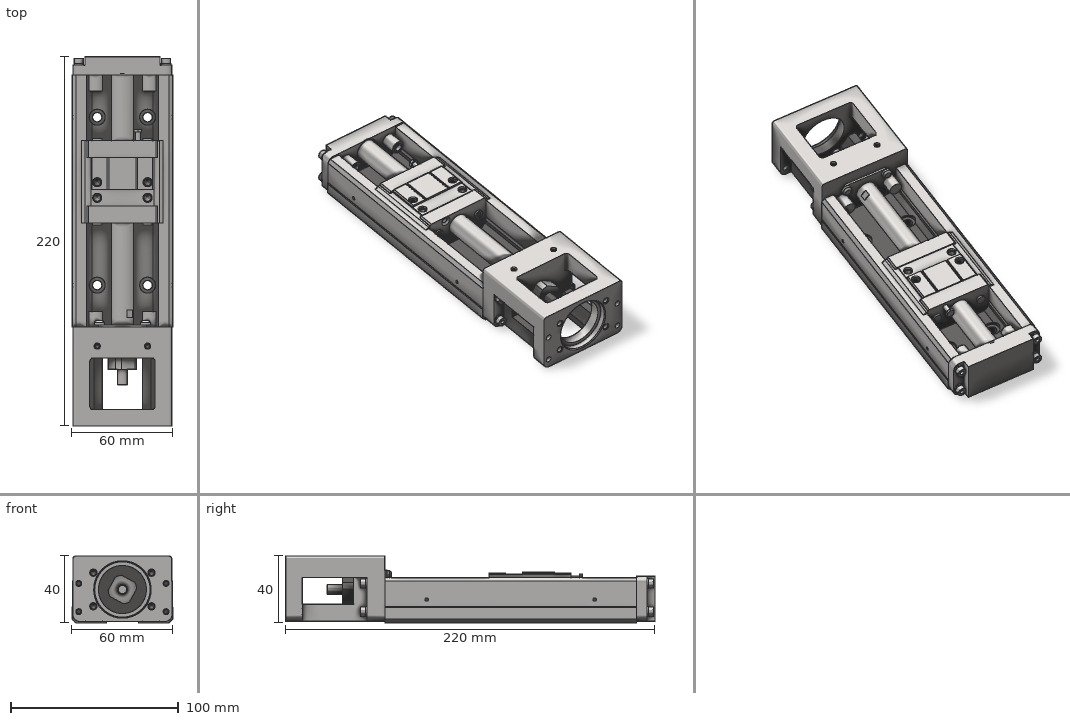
import cadquery as cq
import math


rail_length = 150.0
rail_width = 60.0
rail_upper_width = 59.4
rail_height = 27.0
step_top_z = 10.0
step_bottom_z = 9.3
rail_top_chamfer = 2.0
rail_bottom_chamfer = 2.4
channel_half = 21.5
floor_half = 18.1
floor_z = 7.0
floor_slope_top_z = 9.0
ball_groove_radius = 1.5
ball_groove_x = 21.8
ball_groove_z = 12.8
relief_half = 9.5
relief_depth = 0.8
mount_x = 15.0
mount_end_distance = 25.0
mount_hole_diameter = 5.5
mount_counterbore_diameter = 9.5
mount_counterbore_z = 5.5
side_hole_diameter = 2.0
side_hole_z = 14.0
side_hole_depth = 4.0

drill_point_angle = 118.0

axis_z = 20.0
shaft_diameter = 13.0
flat_span = 12.2
flat_start_y = 5.8
flat_length = 4.3
flat_angle = 45.0
journal_diameter = 6.0
journal_end_y = -34.5
journal_chamfer = 0.5
nut_diameter = 17.0
nut_square = 14.5
nut_end_y = -25.2
nut_angle = -28.5

housing_width = 59.0
housing_bottom_z = 1.0
housing_round = 4.0
corner_screw_x = 26.0
corner_screw_zs = (6.8, 23.6)
corner_screw_head = 5.5
corner_screw_head_length = 4.0
corner_washer_diameter = 5.9
corner_washer_thickness = 1.0
corner_socket_diameter = 2.5
corner_socket_depth = 2.0

end_plate_top_z = 28.0
end_plate_wide_length = 6.0
end_plate_length = 11.0
end_plate_narrow_width = 44.8
shaft_clearance_diameter = 15.0
shaft_clearance_depth = 1.0

bracket_length = 59.0
bracket_top_z = 40.0
bracket_top_round = 2.0
recess_top_z = 27.0
recess_back_y = -10.5
recess_half = 22.0
front_plate_back_y = -49.0
cavity_back_y = -18.5
cavity_half = 19.5
cavity_corner = 2.0
window_bottom_z = 11.3
trough_radius = 19.0
bottom_opening_half = 11.9
pilot_diameter = 33.0
pilot_chamfer = 0.6
pilot_depth = 4.0
bore_diameter = 28.6
motor_pitch_radius = 20.0
motor_pitch_angle = 30.0
motor_hole_diameter = 3.3
motor_hole_chamfer = 0.5
motor_hole_depth = 8.0
access_hole_diameter = 3.5
top_hole_x = 15.0
top_hole_y = -11.3
top_hole_diameter = 2.5
top_hole_chamfer = 0.6
top_hole_depth = 6.0

cover_half = 14.2
cover_thickness = 1.3
cover_top_z = 31.6
cover_screw_x = 13.7
cover_screw_z = 28.3
cover_screw_diameter = 6.0
cover_screw_rim = 1.4
cover_screw_top_diameter = 4.0
cover_screw_height = 2.7

stop_x = 16.0
stop_diameter = 8.0
stop_length = 9.3
stop_tip_diameter = 6.0
stop_tip_length = 0.6
stop_socket_diameter = 4.0
stop_socket_depth = 3.0

carriage_y = 62.0
carriage_length = 49.0
carriage_half = 21.0
carriage_bottom_z = 8.0
carriage_bottom_chamfer = 3.0
cap_length = 10.0
cap_top_z = 29.8
cap_chamfer = 0.9
wing_bottom_z = 27.3
wing_top_z = 28.6
wing_half = 24.3
wing_top_half = 22.2
deck_half = 18.8
deck_top_z = 29.2
pad_top_z = 30.4
pad_length = 19.0
pad_chamfer = 0.8
pad_groove_x = 8.6
pad_groove_width = 1.0
pad_groove_depth = 0.8
tap_x = 15.0
tap_ys = (77.0, 86.3)
tap_diameter = 4.2
tap_chamfer = 0.6
tap_depths = (2.0, 8.0)
cap_screw_x = 15.0
cap_screw_diameter = 5.5
cap_screw_height = 1.2
cap_socket_diameter = 3.0
cap_socket_depth = 0.8
nipple_x = 9.2
nipple_z = 26.6
nipple_hex = 4.6
nipple_length = 6.6
nipple_neck_diameter = 3.0
nipple_tip_length = 1.5
port_diameter = 3.5
port_depth = 4.0
port_chamfer = 1.3


def box(x0, x1, y0, y1, z0, z1):
    return cq.Workplane("XY").box(x1 - x0, y1 - y0, z1 - z0, centered=False).translate((x0, y0, z0))


def rod(x, z, diameter, y0, y1):
    """Round bar along Y from y0 to y1."""
    length = y1 - y0
    return cq.Workplane("XZ", origin=(x, y1, z)).circle(diameter / 2).extrude(length)


def cone_y(x, z, d0, d1, y0, y1):
    """Cone along Y, diameter d0 at y0 and d1 at y1."""
    direction = cq.Vector(0, math.copysign(1, y1 - y0), 0)
    solid = cq.Solid.makeCone(d0 / 2, d1 / 2, abs(y1 - y0), cq.Vector(x, y0, z), direction)
    return cq.Workplane(solid)


def drill_tip_length(diameter):
    """Length of the conical point left by a drill of the given diameter."""
    return diameter / 2 / math.tan(math.radians(drill_point_angle / 2))


def tapped_hole_down(x, y, z, diameter, chamfer, depth):
    """Blind hole going down from height z, with a chamfered mouth and a drill point."""
    hole = cq.Workplane("XY", origin=(x, y, z - depth)).circle(diameter / 2).extrude(depth)
    mouth_radius = diameter / 2 + chamfer
    mouth = cq.Solid.makeCone(mouth_radius, diameter / 2, chamfer, cq.Vector(x, y, z), cq.Vector(0, 0, -1))
    tip = cq.Solid.makeCone(diameter / 2, 0, drill_tip_length(diameter), cq.Vector(x, y, z - depth),
                            cq.Vector(0, 0, -1))
    return hole.union(cq.Workplane(mouth)).union(cq.Workplane(tip))


def build_rail():
    half = rail_width / 2
    upper = rail_upper_width / 2
    right = [
        (relief_half, relief_depth),
        (relief_half, 0),
        (half - rail_bottom_chamfer, 0),
        (half, rail_bottom_chamfer),
        (half, step_bottom_z),
        (upper, step_top_z),
        (upper, rail_height - rail_top_chamfer),
        (upper - rail_top_chamfer, rail_height),
        (channel_half, rail_height),
        (channel_half, floor_slope_top_z),
        (floor_half, floor_z),
    ]
    left = [(-x, z) for x, z in reversed(right)]
    rail = cq.Workplane("XZ").polyline(right + left).close().extrude(-rail_length)
    for side in (-1, 1):
        rail = rail.cut(rod(side * ball_groove_x, ball_groove_z, 2 * ball_groove_radius, 0, rail_length))
        for y in (mount_end_distance, rail_length - mount_end_distance):
            foot = cq.Workplane("XY", origin=(side * mount_x, y, 0))
            rail = rail.cut(foot.circle(mount_hole_diameter / 2).extrude(rail_height))
            seat = foot.workplane(offset=mount_counterbore_z)
            rail = rail.cut(seat.circle(mount_counterbore_diameter / 2).extrude(rail_height))
            side_hole = cq.Workplane("YZ", origin=(side * upper, y, side_hole_z))
            rail = rail.cut(side_hole.circle(side_hole_diameter / 2).extrude(-side * side_hole_depth))
    return rail


def build_shaft():
    shaft = rod(0, axis_z, shaft_diameter, 0, rail_length + shaft_clearance_depth)
    flats = box(-flat_span / 2, flat_span / 2, flat_start_y, flat_start_y + flat_length,
                -shaft_diameter, shaft_diameter)
    flats = flats.rotate((0, 0, 0), (0, 1, 0), -flat_angle).translate((0, 0, axis_z))
    waste = rod(0, axis_z, 2 * shaft_diameter, flat_start_y, flat_start_y + flat_length).cut(flats)
    journal = rod(0, axis_z, journal_diameter, journal_end_y, 0).faces("<Y").chamfer(journal_chamfer)
    nut = rod(0, 0, nut_diameter, nut_end_y, cavity_back_y)
    nut = nut.intersect(box(-nut_square / 2, nut_square / 2, nut_end_y, cavity_back_y,
                            -nut_square / 2, nut_square / 2))
    nut = nut.rotate((0, 0, 0), (0, 1, 0), -nut_angle).translate((0, 0, axis_z))
    return shaft.cut(waste).union(journal).union(nut)


def corner_screws(y_face, direction):
    """Four cap screws with washers, standing on the plane y = y_face."""
    screws = cq.Workplane("XY")
    tip = y_face + direction * corner_screw_head_length
    washer_y = y_face + direction * corner_washer_thickness
    socket_floor = tip - direction * corner_socket_depth
    for x in (-corner_screw_x, corner_screw_x):
        for z in corner_screw_zs:
            head = rod(x, z, corner_screw_head, min(y_face, tip), max(y_face, tip))
            socket = rod(x, z, corner_socket_diameter, min(socket_floor, tip), max(socket_floor, tip))
            washer = rod(x, z, corner_washer_diameter, min(y_face, washer_y), max(y_face, washer_y))
            screws = screws.union(head.cut(socket)).union(washer)
    return screws


def build_end_plate():
    half = housing_width / 2
    wide_y = rail_length + end_plate_wide_length
    plate = box(-half, half, rail_length, wide_y, housing_bottom_z, end_plate_top_z)
    plate = plate.edges("|Y").fillet(housing_round)
    narrow = box(-end_plate_narrow_width / 2, end_plate_narrow_width / 2, wide_y,
                 rail_length + end_plate_length, housing_bottom_z, end_plate_top_z)
    clearance = rod(0, axis_z, shaft_clearance_diameter, rail_length, rail_length + shaft_clearance_depth)
    return plate.union(narrow).cut(clearance).union(corner_screws(wide_y, 1))


def cut_bracket_cavity(bracket):
    """Cavity between bearing wall and motor plate, open above, slotted below, with side windows."""
    half = housing_width / 2
    cavity = box(-cavity_half, cavity_half, front_plate_back_y, cavity_back_y,
                 window_bottom_z, bracket_top_z)
    cavity = cavity.edges("|Z").fillet(cavity_corner)
    slot = box(-bottom_opening_half, bottom_opening_half, front_plate_back_y, cavity_back_y,
               housing_bottom_z, axis_z)
    trough = rod(0, axis_z, 2 * trough_radius, front_plate_back_y, cavity_back_y)
    trough = trough.intersect(box(-half, half, -bracket_length, 0, housing_bottom_z, axis_z))
    windows = box(-half, half, front_plate_back_y, cavity_back_y, window_bottom_z, recess_top_z)
    return bracket.cut(cavity).cut(slot).cut(trough).cut(windows)


def cut_side_recesses(bracket):
    """Recesses in both sides that clear the corner screws."""
    for side in (-1, 1):
        x0, x1 = sorted((side * recess_half, side * housing_width / 2))
        bracket = bracket.cut(box(x0, x1, front_plate_back_y, recess_back_y, housing_bottom_z, recess_top_z))
    return bracket


def cut_motor_face(bracket):
    """Stepped pilot bore, motor screw holes and screwdriver access holes in the motor plate."""
    face_y = -bracket_length
    bracket = bracket.cut(rod(0, axis_z, bore_diameter, face_y, front_plate_back_y))
    bracket = bracket.cut(rod(0, axis_z, pilot_diameter, face_y, face_y + pilot_depth))
    bracket = bracket.cut(cone_y(0, axis_z, pilot_diameter + 2 * pilot_chamfer, pilot_diameter,
                                 face_y, face_y + pilot_chamfer))
    dx = motor_pitch_radius * math.cos(math.radians(motor_pitch_angle))
    dz = motor_pitch_radius * math.sin(math.radians(motor_pitch_angle))
    hole_end_y = face_y + motor_hole_depth
    tip_end_y = hole_end_y + drill_tip_length(motor_hole_diameter)
    mouth_diameter = motor_hole_diameter + 2 * motor_hole_chamfer
    for side in (-1, 1):
        for z in (axis_z - dz, axis_z + dz):
            x = side * dx
            bracket = bracket.cut(rod(x, z, motor_hole_diameter, face_y, hole_end_y))
            bracket = bracket.cut(cone_y(x, z, motor_hole_diameter, 0, hole_end_y, tip_end_y))
            bracket = bracket.cut(cone_y(x, z, mouth_diameter, motor_hole_diameter,
                                         face_y, face_y + motor_hole_chamfer))
        for z in corner_screw_zs:
            bracket = bracket.cut(rod(side * corner_screw_x, z, access_hole_diameter,
                                      face_y, front_plate_back_y))
    return bracket


def build_bracket():
    half = housing_width / 2
    bracket = box(-half, half, -bracket_length, 0, housing_bottom_z, bracket_top_z)
    bracket = bracket.edges("|Y and <Z").fillet(housing_round)
    bracket = bracket.edges("|Y and >Z").fillet(bracket_top_round)
    bracket = cut_motor_face(cut_side_recesses(cut_bracket_cavity(bracket)))
    for x in (-top_hole_x, top_hole_x):
        bracket = bracket.cut(tapped_hole_down(x, top_hole_y, bracket_top_z,
                                               top_hole_diameter, top_hole_chamfer, top_hole_depth))
    return bracket.union(corner_screws(recess_back_y, -1))


def build_bearing_cover():
    cover = box(-cover_half, cover_half, 0, cover_thickness, 2 * axis_z - cover_top_z, cover_top_z)
    rim_y = cover_thickness + cover_screw_rim
    for x in (-cover_screw_x, cover_screw_x):
        cover = cover.union(rod(x, cover_screw_z, cover_screw_diameter, cover_thickness, rim_y))
        cover = cover.union(cone_y(x, cover_screw_z, cover_screw_diameter, cover_screw_top_diameter, rim_y,
                                   cover_thickness + cover_screw_height))
    return cover


def build_stops():
    stops = cq.Workplane("XY")
    for x in (-stop_x, stop_x):
        near = rod(x, axis_z, stop_diameter, 0, stop_length)
        far = rod(x, axis_z, stop_diameter, rail_length - stop_length, rail_length)
        tip_y = rail_length - stop_length - stop_tip_length
        far = far.union(rod(x, axis_z, stop_tip_diameter, tip_y, rail_length))
        far = far.cut(rod(x, axis_z, stop_socket_diameter, tip_y, tip_y + stop_socket_depth))
        stops = stops.union(near).union(far)
    return stops


def build_base_unit():
    base = build_rail()
    for piece in (build_end_plate(), build_bracket(), build_bearing_cover(), build_stops(), build_shaft()):
        base = base.union(piece)
    return base


def build_carriage():
    end_y = carriage_y + carriage_length
    pad_end_y = end_y - cap_length
    right = [
        (carriage_half - carriage_bottom_chamfer, carriage_bottom_z),
        (carriage_half, carriage_bottom_z + carriage_bottom_chamfer),
        (carriage_half, wing_bottom_z),
        (wing_half, wing_bottom_z),
        (wing_top_half, wing_top_z),
    ]
    left = [(-x, z) for x, z in reversed(right)]
    profile = cq.Workplane("XZ", origin=(0, carriage_y, 0)).polyline(right + left).close()
    carriage = profile.extrude(-carriage_length)

    for y in (carriage_y, pad_end_y):
        cap = box(-carriage_half, carriage_half, y, y + cap_length, axis_z, cap_top_z)
        carriage = carriage.union(cap.edges("|Y and >Z").chamfer(cap_chamfer))
    deck = box(-deck_half, deck_half, carriage_y + cap_length, pad_end_y, axis_z, deck_top_z)
    pad = box(-deck_half, deck_half, pad_end_y - pad_length, pad_end_y, axis_z, pad_top_z)
    carriage = carriage.union(deck).union(pad.edges("|Y and >Z").chamfer(pad_chamfer))
    for x in (-pad_groove_x, pad_groove_x):
        carriage = carriage.cut(box(x - pad_groove_width / 2, x + pad_groove_width / 2,
                                    pad_end_y - pad_length, pad_end_y,
                                    pad_top_z - pad_groove_depth, pad_top_z))

    for x in (-tap_x, tap_x):
        for y, z, depth in zip(tap_ys, (deck_top_z, pad_top_z), tap_depths):
            carriage = carriage.cut(tapped_hole_down(x, y, z, tap_diameter, tap_chamfer, depth))

    for x in (-cap_screw_x, cap_screw_x):
        front = rod(x, axis_z, cap_screw_diameter, carriage_y - cap_screw_height, carriage_y)
        front_socket = rod(x, axis_z, cap_socket_diameter, carriage_y - cap_screw_height,
                           carriage_y - cap_screw_height + cap_socket_depth)
        back = rod(x, axis_z, cap_screw_diameter, end_y, end_y + cap_screw_height)
        carriage = carriage.union(front.cut(front_socket)).union(back)

    tip_y = end_y + nipple_length
    neck = rod(nipple_x, nipple_z, nipple_neck_diameter, end_y, tip_y)
    head = cq.Workplane("XZ", origin=(nipple_x, tip_y, nipple_z))
    head = head.polygon(6, nipple_hex, circumscribed=True).extrude(nipple_tip_length)
    carriage = carriage.union(neck).union(head)
    carriage = carriage.cut(rod(-nipple_x, nipple_z, port_diameter, carriage_y, carriage_y + port_depth))
    carriage = carriage.cut(cone_y(-nipple_x, nipple_z, port_diameter + 2 * port_chamfer, port_diameter,
                                   carriage_y, carriage_y + port_chamfer))

    return carriage.cut(rod(0, axis_z, shaft_diameter, carriage_y, end_y))


base_unit = build_base_unit()
carriage = build_carriage()
result = cq.Compound.makeCompound([base_unit.val(), carriage.val()])